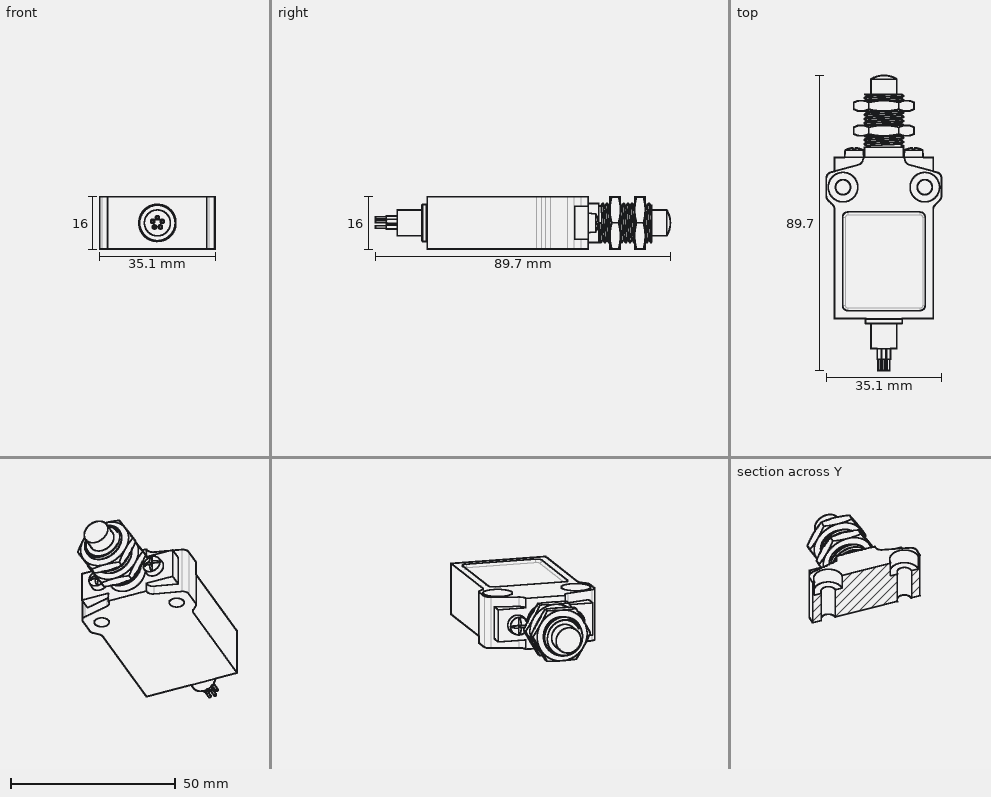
import cadquery as cq
import math


body_width = 30.0
body_length = 48.95
body_height = 16.0
ear_width = 35.1
ear_end_y = 36.5
shoulder_y = 44.7
shoulder_slope = math.tan(math.radians(15))
neck_width = 12.6
outline_radius = 2.0
tab_height = 10.0

hole_spacing = 24.8
hole_y = 39.9
hole_diameter = 4.5
counterbore_diameter = 9
counterbore_depth = 5.0

recess_width = 25.1
recess_start_y = 2.4
recess_end_y = 32.4
recess_depth = 0.8
recess_corner_radius = 1.6

boss_diameter = 11.9
boss_end_y = 52.1
stem_end_y = 68.1
root_diameter = 10.4
thread_diameter = 12.0
thread_turns = 12.6
thread_pitch = (stem_end_y - boss_end_y) / thread_turns
thread_crest_width = 0.1
thread_base_share = 0.98
thread_start_turns = 0.2
thread_overlap = 0.1
nut_flats = 15.9
nut_corners = nut_flats / math.cos(math.pi / 6)
nut_thickness = 3.1
nut_start_ys = (55.5, 63.0)
nut_bevel_height = 0.5
plunger_diameter = 7.9
plunger_shoulder_y = 72.7
plunger_end_y = 73.9

screw_spacing = 18.0
screw_base_diameter = 5.9
screw_rim_diameter = 5.6
screw_rim_height = 2.15
screw_height = 3.0
cross_length = 5.0
cross_width = 0.9
cross_depth = 1.3
cross_taper = 20

collar_diameter = 11.3
collar_length = 1.6
collar_bevel = 0.3
cable_diameter = 7.9
cable_length = 9.15
wire_count = 5
wire_circle_radius = 1.5
insulation_diameter = 1.3
insulation_end = 12.4
strand_diameter = 0.79
overall_length = 89.7
strand_end = overall_length - plunger_end_y


def rod(diameter, start_y, end_y, x=0, z=0):
    """Cylinder along Y."""
    plane = cq.Plane(origin=(x, start_y, z), xDir=(1, 0, 0), normal=(0, 1, 0))
    return cq.Workplane(plane).circle(diameter / 2).extrude(end_y - start_y)


def domed_rod(base_diameter, rim_diameter, start_y, rim_y, end_y):
    """Round body along Y, closed by a shallow spherical dome."""
    rim_radius = rim_diameter / 2
    rise = end_y - rim_y
    sphere_radius = (rim_radius**2 + rise**2) / (2 * rise)
    middle_x = rim_radius / 2
    middle_y = end_y - sphere_radius + math.sqrt(sphere_radius**2 - middle_x**2)
    return (
        cq.Workplane("XY")
        .moveTo(0, start_y)
        .lineTo(base_diameter / 2, start_y)
        .lineTo(rim_radius, rim_y)
        .threePointArc((middle_x, middle_y), (0, end_y))
        .close()
        .revolve(360, (0, 0), (0, 1))
    )


def make_body():
    def shoulder(x):
        return shoulder_y + (body_width / 2 - x) * shoulder_slope

    side = body_width / 2
    ear = ear_width / 2
    neck = neck_width / 2
    right_side = [
        (side, 0),
        (side, ear_end_y - (ear - side)),
        (ear, ear_end_y),
        (ear, shoulder(ear)),
        (neck, shoulder(neck)),
        (neck, body_length),
    ]
    left_side = [(-x, y) for x, y in reversed(right_side)]
    outline_corners = cq.selectors.BoxSelector(
        (-ear_width, recess_end_y, -body_height),
        (ear_width, (shoulder(neck) + body_length) / 2, body_height),
    )
    body = (
        cq.Workplane("XY", origin=(0, 0, -body_height / 2))
        .polyline(right_side + left_side)
        .close()
        .extrude(body_height)
        .edges("|Z")
        .edges(outline_corners)
        .fillet(outline_radius)
    )
    tab_length = body_length - ear_end_y
    tab = cq.Workplane("XY").box(body_width, tab_length, tab_height)
    return body.union(tab.translate((0, body_length - tab_length / 2, 0)))


def cut_mounting_holes(body):
    holes = [(-hole_spacing / 2, hole_y), (hole_spacing / 2, hole_y)]
    return (
        body.faces(">Z")
        .workplane(origin=(0, 0, body_height / 2))
        .pushPoints(holes)
        .cboreHole(hole_diameter, counterbore_diameter, counterbore_depth)
    )


def make_recess():
    """Shallow rectangular pocket whose walls curve into the floor."""
    length = recess_end_y - recess_start_y
    middle_y = (recess_end_y + recess_start_y) / 2
    outline = cq.Sketch().rect(recess_width, length).vertices().fillet(recess_corner_radius)
    return (
        cq.Workplane("XY", origin=(0, middle_y, body_height / 2 - recess_depth))
        .placeSketch(outline)
        .extrude(2 * recess_depth)
        .faces("<Z")
        .edges()
        .fillet(recess_depth)
    )


def make_thread():
    """Right-hand triangular thread along Y, from inside the boss to past the end of the stem."""
    start_y = boss_end_y + thread_start_turns * thread_pitch
    base_radius = root_diameter / 2 - thread_overlap
    crest_radius = thread_diameter / 2
    half_base = thread_base_share * thread_pitch / 2
    half_crest = thread_crest_width / 2
    helix = cq.Wire.makeHelix(thread_pitch, stem_end_y - start_y + thread_pitch, base_radius)
    return (
        cq.Workplane("XZ")
        .polyline([
            (base_radius, -half_base),
            (crest_radius, -half_crest),
            (crest_radius, half_crest),
            (base_radius, half_base),
        ])
        .close()
        .sweep(cq.Workplane(helix), isFrenet=True)
        .rotate((0, 0, 0), (1, 0, 0), -90)
        .translate((0, start_y, 0))
    )


def make_nut(start_y):
    """Hexagon nut, flats facing +Z and -Z, corners bevelled on both faces."""
    flat_radius = nut_flats / 2
    corner_radius = nut_corners / 2
    hexagon = (
        cq.Workplane("XZ")
        .polygon(6, nut_corners)
        .extrude(-nut_thickness)
    )
    bevelled_disc = (
        cq.Workplane("XY")
        .polyline([
            (0, 0),
            (flat_radius, 0),
            (corner_radius, nut_bevel_height),
            (corner_radius, nut_thickness - nut_bevel_height),
            (flat_radius, nut_thickness),
            (0, nut_thickness),
        ])
        .close()
        .revolve(360, (0, 0), (0, 1))
    )
    return hexagon.intersect(bevelled_disc).translate((0, start_y, 0))


def make_stem():
    """Threaded stem, cut square at its end and standing on a plain boss."""
    core_end_y = stem_end_y + 2 * thread_pitch
    core = rod(root_diameter, body_length, core_end_y)
    excess = rod(2 * thread_diameter, stem_end_y, core_end_y)
    stem = core.union(make_thread()).cut(excess)
    return rod(boss_diameter, body_length, boss_end_y).union(stem)


def make_head():
    head = make_stem()
    for start_y in nut_start_ys:
        head = head.union(make_nut(start_y))
    plunger = domed_rod(plunger_diameter, plunger_diameter, body_length, plunger_shoulder_y, plunger_end_y)
    return head.union(plunger)


def make_screw(x):
    """Domed screw head with a tapered cross recess."""
    top_y = body_length + screw_height
    screw = domed_rod(
        screw_base_diameter, screw_rim_diameter, body_length, body_length + screw_rim_height, top_y
    )
    top_plane = cq.Plane(origin=(0, top_y, 0), xDir=(1, 0, 0), normal=(0, 1, 0))
    for length, width in ((cross_length, cross_width), (cross_width, cross_length)):
        slot = cq.Workplane(top_plane).rect(length, width).extrude(-cross_depth, taper=cross_taper)
        screw = screw.cut(slot)
    return screw.translate((x, 0, 0))


def make_cable():
    collar = rod(collar_diameter, -collar_length, 0).edges("%CIRCLE").chamfer(collar_bevel)
    cable = collar.union(rod(cable_diameter, -cable_length, 0))
    for index in range(wire_count):
        angle = 2 * math.pi * index / wire_count
        x = wire_circle_radius * math.sin(angle)
        z = wire_circle_radius * math.cos(angle)
        cable = cable.union(rod(insulation_diameter, -insulation_end, -cable_length, x, z))
        cable = cable.union(rod(strand_diameter, -strand_end, -insulation_end, x, z))
    return cable


result = cut_mounting_holes(make_body()).cut(make_recess())
result = result.union(make_head()).union(make_cable())
for screw_x in (-screw_spacing / 2, screw_spacing / 2):
    result = result.union(make_screw(screw_x))